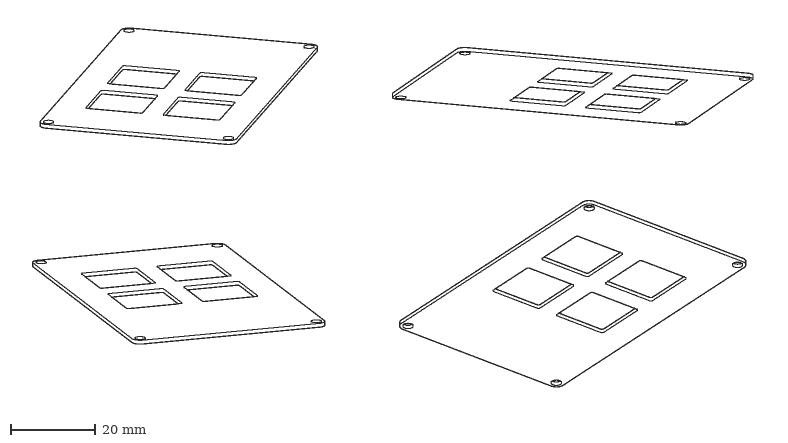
import cadquery as cq

plate_width = 48.5
plate_length = 74.8
plate_thickness = 1.0
corner_radius = 2.0

hole_diameter = 2.5
hole_spacing_x = plate_width - 2 * corner_radius
hole_spacing_y = plate_length - 2 * corner_radius

window_size = 14.0
window_pitch = 19.1
window_corner_radius = 0.5
window_grid_y = -6.6
windows_per_side = 2


def make_plate():
    """Flat plate with rounded corners."""
    plate = cq.Workplane("XY").box(plate_width, plate_length, plate_thickness)
    return plate.edges("|Z").fillet(corner_radius)


def make_windows():
    """Round-cornered square cutters for the windows."""
    return (
        cq.Workplane("XY")
        .center(0, window_grid_y)
        .rarray(window_pitch, window_pitch, windows_per_side, windows_per_side)
        .rect(window_size, window_size)
        .extrude(plate_thickness, both=True)
        .edges("|Z")
        .fillet(window_corner_radius)
    )


def make_mounting_holes():
    """Cylindrical cutters for the four corner holes."""
    return (
        cq.Workplane("XY")
        .rect(hole_spacing_x, hole_spacing_y, forConstruction=True)
        .vertices()
        .circle(hole_diameter / 2)
        .extrude(plate_thickness, both=True)
    )


result = make_plate().cut(make_windows()).cut(make_mounting_holes())